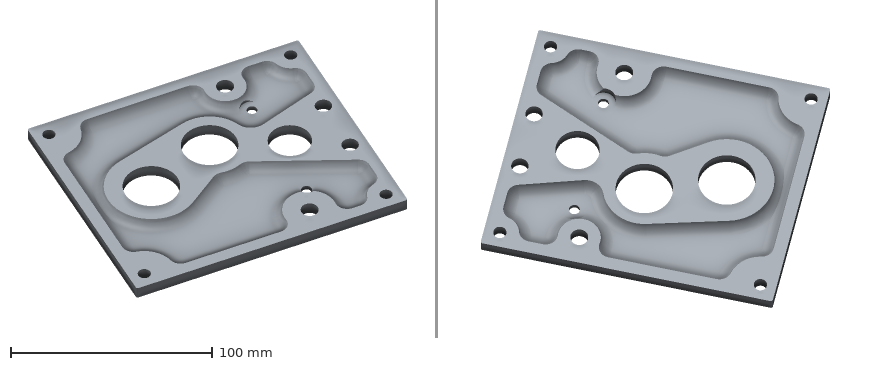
import cadquery as cq
import math

WIDTH = 127.0
LENGTH = 149.2
THICKNESS = 6.4
PLATE_CORNER_RADIUS = 1.0

POCKET_DEPTH = 4.0
CORNER_MARGIN = 0.1
CUTTER_CLEARANCE = 0.7
COVE_RADIUS = 6.4
COVE_WIDTH = math.sqrt(COVE_RADIUS**2 - (COVE_RADIUS - POCKET_DEPTH) ** 2)
RIM_SETBACK = COVE_RADIUS - COVE_WIDTH
CUTTER_HEIGHT = COVE_RADIUS + CUTTER_CLEARANCE
WALL_CORNER_RADIUS = COVE_RADIUS + CORNER_MARGIN
ISLAND_SHOULDER_RADIUS = 9.5
POCKET_HALF_WIDTH = 57.2
POCKET_HALF_LENGTH = 68.2

CORNER_HOLE_X = 55.4
CORNER_HOLE_Y = 66.5
CORNER_HOLE_RADIUS = 3.3
TOP_HOLE_X = 15.5
TOP_HOLE_Y = 65.7
TOP_HOLE_RADIUS = 4.3
SIDE_HOLE_X = 49.1
SIDE_HOLE_Y = 27.5
SIDE_HOLE_RADIUS = 4.5
PIN_HOLE_X = 31.6
PIN_HOLE_Y = 34.0
PIN_HOLE_RADIUS = 2.7
PIN_SPOTFACE_RADIUS = 6.3

UPPER_BORE = (0.0, 39.8)
UPPER_BORE_RADIUS = 11.0
MIDDLE_BORE = (-14.2, 2.4)
LOWER_BORE = (0.0, -36.4)
LARGE_BORE_RADIUS = 14.3

TOP_CORNER_LAND_RADIUS = 9.5
BOTTOM_CORNER_LAND_RADIUS = 16.3
LEFT_BOSS_RADIUS = 10.7
RIGHT_BOSS_RADIUS = 13.7
MIDDLE_ISLAND_RADIUS = 20.6
LOWER_ISLAND_RADIUS = 23.7

ISLAND_LEFT_TOP_X = -27.8
ISLAND_RIGHT_TOP_X = 28.5
LEFT_WALL_LEAN = 18.0
RIGHT_WALL_LEAN = 24.0
LOWER_RIGHT_WALL_LEAN = 35.4

FLOOR_Z = THICKNESS - POCKET_DEPTH
TOP_WALL_Y = POCKET_HALF_LENGTH + RIM_SETBACK


def on_circle(center, radius, angle):
    """Point on a circle at an angle in degrees."""
    a = math.radians(angle)
    return (center[0] + radius * math.cos(a), center[1] + radius * math.sin(a))


def first_hit(start, angle, center, radius):
    """First point where a ray, leaving start at an angle in degrees, meets a circle."""
    ux, uy = on_circle((0, 0), 1, angle)
    dx, dy = center[0] - start[0], center[1] - start[1]
    along = dx * ux + dy * uy
    aside = dx * uy - dy * ux
    reach = along - math.sqrt(radius**2 - aside**2)
    return (start[0] + reach * ux, start[1] + reach * uy)


def angle_of(center, point):
    """Direction from center to point, in degrees from 0 to 360."""
    return math.degrees(math.atan2(point[1] - center[1], point[0] - center[0])) % 360


def mirrored(x, y):
    return [(-x, y), (x, y)]


def disc(center, radius, bottom=0.0):
    """Upright cylinder from a bottom level to above the plate, as tall as the pocket's cutting bodies."""
    height = FLOOR_Z + CUTTER_HEIGHT - bottom
    return cq.Workplane("XY", origin=(0, 0, bottom)).center(*center).circle(radius).extrude(height)


def land(center, rim_radius):
    """Round island cut from the basin, with the given radius where its cove meets the top face."""
    return disc(center, rim_radius - RIM_SETBACK)


def top_corner(rim_x, lean, inward):
    """Meeting point of the top wall and an island wall, both set back from their rims.

    inward is +1 or -1, the X direction from the pocket into the island.
    """
    a = math.radians(lean)
    shift = RIM_SETBACK / math.cos(a) - RIM_SETBACK * math.tan(a)
    return (rim_x + inward * shift, TOP_WALL_Y)


def outer_basin():
    """Pocket bounded by the outer walls, corner lands and side bosses, without the island."""
    basin = cq.Workplane("XY", origin=(0, 0, FLOOR_Z))
    basin = basin.rect(2 * (POCKET_HALF_WIDTH + RIM_SETBACK), 2 * TOP_WALL_Y).extrude(CUTTER_HEIGHT)
    for center in mirrored(CORNER_HOLE_X, CORNER_HOLE_Y):
        basin = basin.cut(land(center, TOP_CORNER_LAND_RADIUS))
    for center in mirrored(CORNER_HOLE_X, -CORNER_HOLE_Y):
        basin = basin.cut(land(center, BOTTOM_CORNER_LAND_RADIUS))
    basin = basin.cut(land((-SIDE_HOLE_X, SIDE_HOLE_Y), LEFT_BOSS_RADIUS))
    basin = basin.cut(land((SIDE_HOLE_X, SIDE_HOLE_Y), RIGHT_BOSS_RADIUS))
    return basin.edges("|Z").fillet(WALL_CORNER_RADIUS).faces("<Z").edges().fillet(COVE_RADIUS)


def island_surround():
    """Space around the central island, running out past the plate at the sides and bottom."""
    far_x = WIDTH
    far_y = -LENGTH

    middle_radius = MIDDLE_ISLAND_RADIUS - RIM_SETBACK
    lower_radius = LOWER_ISLAND_RADIUS - RIM_SETBACK
    left_top = top_corner(ISLAND_LEFT_TOP_X, LEFT_WALL_LEAN, 1)
    right_top = top_corner(ISLAND_RIGHT_TOP_X, RIGHT_WALL_LEAN, -1)

    left_join = first_hit(left_top, -90 + LEFT_WALL_LEAN, MIDDLE_BORE, middle_radius)
    right_join = first_hit(right_top, -90 - RIGHT_WALL_LEAN, MIDDLE_BORE, middle_radius)

    spacing = math.dist(MIDDLE_BORE, LOWER_BORE)
    flare = math.degrees(math.asin((lower_radius - middle_radius) / spacing))
    left_normal = angle_of(MIDDLE_BORE, LOWER_BORE) - 90 - flare
    middle_tangent = on_circle(MIDDLE_BORE, middle_radius, left_normal)
    lower_left_tangent = on_circle(LOWER_BORE, lower_radius, left_normal)

    lower_right_tangent = on_circle(LOWER_BORE, lower_radius, LOWER_RIGHT_WALL_LEAN)
    waist = first_hit(lower_right_tangent, 90 + LOWER_RIGHT_WALL_LEAN, MIDDLE_BORE, middle_radius)

    left_mid = (angle_of(MIDDLE_BORE, left_join) + left_normal) / 2
    lower_mid = (left_normal + 360 + LOWER_RIGHT_WALL_LEAN) / 2
    right_mid = angle_of(MIDDLE_BORE, ((waist[0] + right_join[0]) / 2, (waist[1] + right_join[1]) / 2))

    space = (
        cq.Workplane("XY", origin=(0, 0, FLOOR_Z))
        .moveTo(-far_x, TOP_WALL_Y)
        .lineTo(*left_top)
        .lineTo(*left_join)
        .threePointArc(on_circle(MIDDLE_BORE, middle_radius, left_mid), middle_tangent)
        .lineTo(*lower_left_tangent)
        .threePointArc(on_circle(LOWER_BORE, lower_radius, lower_mid), lower_right_tangent)
        .lineTo(*waist)
        .threePointArc(on_circle(MIDDLE_BORE, middle_radius, right_mid), right_join)
        .lineTo(*right_top)
        .lineTo(far_x, TOP_WALL_Y)
        .lineTo(far_x, far_y)
        .lineTo(-far_x, far_y)
        .close()
        .extrude(CUTTER_HEIGHT)
    )
    corners = [
        (left_top, WALL_CORNER_RADIUS),
        (left_join, ISLAND_SHOULDER_RADIUS),
        (waist, WALL_CORNER_RADIUS),
        (right_join, WALL_CORNER_RADIUS),
        (right_top, WALL_CORNER_RADIUS),
    ]
    for (x, y), radius in corners:
        corner = cq.selectors.NearestToPointSelector((x, y, FLOOR_Z + CUTTER_HEIGHT / 2))
        space = space.edges("|Z").edges(corner).fillet(radius)
    return space.faces("<Z").edges().fillet(COVE_RADIUS)


plate = cq.Workplane("XY").box(WIDTH, LENGTH, THICKNESS, centered=(True, True, False))
plate = plate.edges("|Z").fillet(PLATE_CORNER_RADIUS)

result = plate.cut(outer_basin().intersect(island_surround()))

for spot in mirrored(PIN_HOLE_X, PIN_HOLE_Y):
    result = result.cut(disc(spot, PIN_SPOTFACE_RADIUS, FLOOR_Z))

hole_groups = [
    (mirrored(CORNER_HOLE_X, CORNER_HOLE_Y), CORNER_HOLE_RADIUS),
    (mirrored(CORNER_HOLE_X, -CORNER_HOLE_Y), CORNER_HOLE_RADIUS),
    (mirrored(TOP_HOLE_X, TOP_HOLE_Y), TOP_HOLE_RADIUS),
    (mirrored(SIDE_HOLE_X, SIDE_HOLE_Y), SIDE_HOLE_RADIUS),
    (mirrored(PIN_HOLE_X, PIN_HOLE_Y), PIN_HOLE_RADIUS),
    ([UPPER_BORE], UPPER_BORE_RADIUS),
    ([MIDDLE_BORE, LOWER_BORE], LARGE_BORE_RADIUS),
]
for centers, radius in hole_groups:
    for center in centers:
        result = result.cut(disc(center, radius))